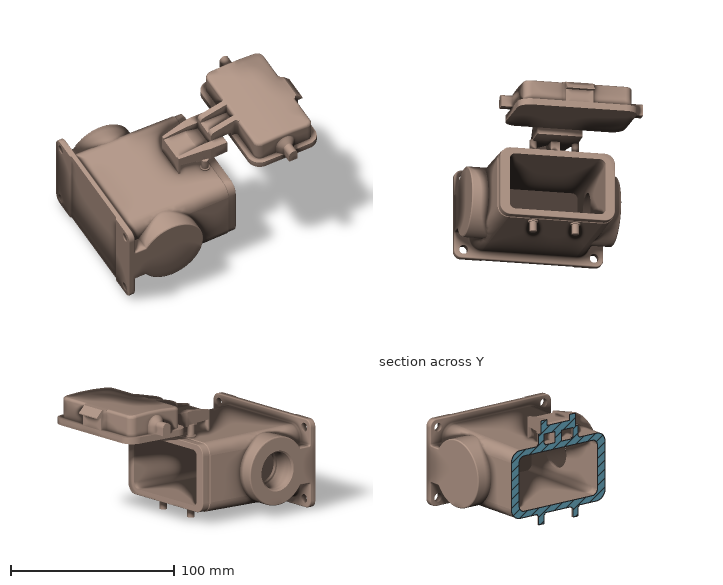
import cadquery as cq
import math

PLATE_WIDTH = 94.0
PLATE_HEIGHT = 55.9
PLATE_THICKNESS = 4.0
PLATE_CORNER_RADIUS = 4.7
SCREW_SPACING_X = 82.3
SCREW_SPACING_Z = 45.1
SCREW_HOLE_DIAMETER = 5.5
RELIEF_WIDTH = 56.7
RELIEF_DEPTH = 0.9
RELIEF_SLOPE_RUN = 1.1

SHELL_BASE_HALF_X = 37.6
SHELL_BASE_HALF_Z = 22.8
SHELL_CORNER_RADIUS = 8.0
SHELL_END_Y = 75.2
SHELL_DRAFT = 1.0
SHELL_DRAFT_ANGLE = math.degrees(math.atan2(SHELL_DRAFT, SHELL_END_Y - PLATE_THICKNESS))
SHELL_END_HALF_X = SHELL_BASE_HALF_X - SHELL_DRAFT
SHELL_END_HALF_Z = SHELL_BASE_HALF_Z - SHELL_DRAFT
RIM_END_Y = 80.3
RIM_STEP = 0.4
BASE_FILLET = 1.0
CAVITY_FLOOR_Y = 5.7
SIDE_WALL = 6.4
BROAD_WALL = 4.3
CAVITY_CORNER_RADIUS = 3.5

ENTRY_Y = 29.9
ENTRY_RADIUS = 21.7
ENTRY_NECK_HALF_Z = 11.8
ENTRY_EDGE_FILLET = 0.7
ENTRY_BORE_RADIUS = 11.8
ENTRY_BORE_CHAMFER = 1.0
ENTRY_BORE_DEPTH = 14.9
ENTRY_WINDOW_RADIUS = 10.5

PEG_X = 13.3
PEG_Y = 71.0
PEG_RADIUS = 2.3
PEG_COLLAR_RADIUS = 3.1
PEG_COLLAR_TOP_Z = 22.8
PEG_LOWER_END_Z = 28.8

LEVER_HALF_X = 14.3
LEVER_FRONT_HALF_X = 10.6
LEVER_FRONT_Y = 54.2
LEVER_TAPER_Y = 74.6
LEVER_REAR_Y = 86.2
LEVER_SLOPE_Y = 69.8
LEVER_TOP_Z = 37.9
LEVER_FRONT_TOP_Z = 35.7
LEVER_BOTTOM_Z = 29.6
LEVER_PAD_FRONT_Y = 65.5
LEVER_PAD_Z = 28.6
LEVER_REAR_BOTTOM_Z = 29.4
LEVER_REAR_FILLET = 0.7
LEVER_FLOOR_Z = 34.6
LEVER_FLOOR_BEND_Y = 68.9
LEVER_FLOOR_REAR_Z = 32.6
LEVER_FLOOR_REAR_Y = 76.6
LEVER_LIP_THICKNESS = 1.0
SUPPORT_HALF_X = 2.8
SUPPORT_FRONT_HALF_X = 8.5
SUPPORT_TAPER_Y = 61.3

COVER_Y = 115.7
COVER_BOTTOM_Z = 31.5
FLANGE_HALF_X = 37.6
FLANGE_HALF_Y = 23.4
FLANGE_TOP_Z = 35.5
FLANGE_CORNER_RADIUS = 8.0
DOME_HALF_X = 34.2
DOME_HALF_Y = 19.9
DOME_CORNER_RADIUS = 4.4
DOME_CROWN_Z = 49.4
DOME_SHOULDER_Z = 47.8
DOME_EDGE_FILLET = 1.8
STRAP_HALF_X = 8.7
STRAP_FILLET = 1.7

NOSE_TIP_Y = 141.8
NOSE_TIP_Z = 43.1
NOSE_TIP_HEIGHT = 0.5
NOSE_FACE_Y = 138.5
NOSE_TOP_Y = 137.5

ARM_END_Y = 77.9
ARM_BOTTOM_Z = 37.9
ARM_ROOT_Y = 94.3
ARM_NOSE_Y = 80.4
ARM_NOSE_Z = 44.7
ARM_NOSE_MID_Y = 78.5
ARM_NOSE_MID_Z = 43.5
ARM_NOSE_LOW_Z = 42.0
ARM_POCKET_HALF_X = 4.89
ARM_POCKET_FLOOR_Z = 41.1
ARM_POCKET_END_Y = 99.3

TRUNNION_END_X = 44.7
TRUNNION_HALF_Y = 3.0
TRUNNION_TOP_Z = 43.3
TRUNNION_ROOT_HALF_Y = 6.4
TRUNNION_ROOT_TOP_Z = 46.5

OVERLAP = 2.1
SELECTION_MARGIN = 0.1


def box_between(x0, x1, y0, y1, z0, z1):
    return cq.Workplane("XY").box(x1 - x0, y1 - y0, z1 - z0, centered=False).translate((x0, y0, z0))


def rounded_rect_y(half_x, half_z, radius, y_start, y_end):
    """Rounded rectangle in XZ, extruded along Y."""
    sketch = cq.Sketch().rect(2 * half_x, 2 * half_z).vertices().fillet(radius)
    return cq.Workplane("XZ", origin=(0, y_start, 0)).placeSketch(sketch).extrude(y_start - y_end)


def rounded_rect_z(half_x, half_y, radius, z_start, z_end):
    """Rounded rectangle around the cover centre, extruded along Z."""
    sketch = cq.Sketch().rect(2 * half_x, 2 * half_y).vertices().fillet(radius)
    return cq.Workplane("XY", origin=(0, COVER_Y, z_start)).placeSketch(sketch).extrude(z_end - z_start)


def extrude_yz(points, half_x):
    """Polygon of (Y, Z) points, extruded to both sides of X = 0."""
    return cq.Workplane("YZ").polyline(points).close().extrude(half_x, both=True)


def both_sides(solid):
    return solid.union(solid.mirror("YZ"))


def mounting_plate():
    plate = rounded_rect_y(PLATE_WIDTH / 2, PLATE_HEIGHT / 2, PLATE_CORNER_RADIUS, 0, PLATE_THICKNESS)
    holes = (
        cq.Workplane("XZ")
        .rect(SCREW_SPACING_X, SCREW_SPACING_Z, forConstruction=True)
        .vertices()
        .circle(SCREW_HOLE_DIAMETER / 2)
        .extrude(-PLATE_THICKNESS)
    )
    half = RELIEF_WIDTH / 2
    relief = (
        cq.Workplane("XY")
        .polyline([
            (-half - RELIEF_SLOPE_RUN, 0),
            (half + RELIEF_SLOPE_RUN, 0),
            (half, RELIEF_DEPTH),
            (-half, RELIEF_DEPTH),
        ])
        .close()
        .extrude(PLATE_HEIGHT, both=True)
    )
    return plate.cut(holes).cut(relief)


def shell_body():
    base = cq.Sketch().rect(2 * SHELL_BASE_HALF_X, 2 * SHELL_BASE_HALF_Z)
    base = base.vertices().fillet(SHELL_CORNER_RADIUS)
    body = (
        cq.Workplane("XZ", origin=(0, PLATE_THICKNESS, 0))
        .placeSketch(base)
        .extrude(PLATE_THICKNESS - SHELL_END_Y, taper=SHELL_DRAFT_ANGLE)
    )
    body = body.faces(">Y").chamfer(RIM_STEP)
    rim = rounded_rect_y(
        SHELL_END_HALF_X - RIM_STEP,
        SHELL_END_HALF_Z - RIM_STEP,
        SHELL_CORNER_RADIUS - SHELL_DRAFT - RIM_STEP,
        SHELL_END_Y - OVERLAP,
        RIM_END_Y,
    )
    rim = rim.faces(">Y").edges().fillet(RIM_STEP)
    return body.union(rim)


def fillet_foot(housing):
    """Round the foot of the shell and the entry necks where they meet the plate."""
    margin = SELECTION_MARGIN
    foot = cq.selectors.BoxSelector(
        (-PLATE_WIDTH, PLATE_THICKNESS - margin, -SHELL_BASE_HALF_Z - margin),
        (PLATE_WIDTH, PLATE_THICKNESS + margin, SHELL_BASE_HALF_Z + margin),
        boundingbox=True,
    )
    return housing.edges(foot).fillet(BASE_FILLET)


def fillet_entry_faces(housing):
    """Round the outline of both entry faces above the plate."""
    above_plate = cq.selectors.BoxSelector(
        (-PLATE_WIDTH, PLATE_THICKNESS + SELECTION_MARGIN, -PLATE_HEIGHT),
        (PLATE_WIDTH, RIM_END_Y, PLATE_HEIGHT),
    )
    return housing.faces("<X or >X").edges(above_plate).fillet(ENTRY_EDGE_FILLET)


def shell_cavity():
    return rounded_rect_y(
        SHELL_END_HALF_X - SIDE_WALL,
        SHELL_END_HALF_Z - BROAD_WALL,
        CAVITY_CORNER_RADIUS,
        CAVITY_FLOOR_Y,
        RIM_END_Y,
    )


def cable_entry():
    """Left-hand entry: a round boss joined to the plate by a neck."""
    face_x = -PLATE_WIDTH / 2
    length = PLATE_WIDTH / 2 - SHELL_END_HALF_X + SIDE_WALL
    boss = cq.Workplane("YZ", origin=(face_x, ENTRY_Y, 0)).circle(ENTRY_RADIUS).extrude(length)
    neck = box_between(
        face_x, face_x + length,
        PLATE_THICKNESS / 2, ENTRY_Y,
        -ENTRY_NECK_HALF_Z, ENTRY_NECK_HALF_Z,
    )
    return boss.union(neck)


def entry_bore():
    face_x = -PLATE_WIDTH / 2
    start = cq.Workplane("YZ", origin=(face_x, ENTRY_Y, 0))
    bore = start.circle(ENTRY_BORE_RADIUS).extrude(ENTRY_BORE_DEPTH)
    mouth = cq.Workplane(cq.Solid.makeCone(
        ENTRY_BORE_RADIUS + ENTRY_BORE_CHAMFER,
        ENTRY_BORE_RADIUS,
        ENTRY_BORE_CHAMFER,
        pnt=cq.Vector(face_x, ENTRY_Y, 0),
        dir=cq.Vector(1, 0, 0),
    ))
    window = start.circle(ENTRY_WINDOW_RADIUS).extrude(PLATE_WIDTH / 2)
    return bore.union(mouth).union(window)


def locking_pegs():
    """Two pegs on each broad face; the upper pair carries the lever."""
    def cylinders(radius, z_low, z_high):
        return (
            cq.Workplane("XY", origin=(0, PEG_Y, z_low))
            .pushPoints([(-PEG_X, 0), (PEG_X, 0)])
            .circle(radius)
            .extrude(z_high - z_low)
        )

    root_z = SHELL_END_HALF_Z - OVERLAP
    pegs = cylinders(PEG_RADIUS, root_z, LEVER_BOTTOM_Z)
    pegs = pegs.union(cylinders(PEG_RADIUS, -PEG_LOWER_END_Z, -root_z))
    pegs = pegs.union(cylinders(PEG_COLLAR_RADIUS, root_z, PEG_COLLAR_TOP_Z))
    return pegs.union(cylinders(PEG_COLLAR_RADIUS, -PEG_COLLAR_TOP_Z, -root_z))


def lever():
    profile = extrude_yz(
        [
            (LEVER_FRONT_Y, LEVER_BOTTOM_Z),
            (LEVER_FRONT_Y, LEVER_FRONT_TOP_Z),
            (LEVER_SLOPE_Y, LEVER_TOP_Z),
            (LEVER_REAR_Y, LEVER_TOP_Z),
            (LEVER_REAR_Y, LEVER_REAR_BOTTOM_Z),
            (LEVER_TAPER_Y, LEVER_PAD_Z),
            (LEVER_PAD_FRONT_Y, LEVER_PAD_Z),
            (LEVER_PAD_FRONT_Y, LEVER_BOTTOM_Z),
        ],
        LEVER_HALF_X,
    )
    profile = profile.faces(">Y").edges(">Z").fillet(LEVER_REAR_FILLET)
    lip = box_between(
        -LEVER_HALF_X, LEVER_HALF_X,
        LEVER_FRONT_Y, LEVER_FRONT_Y + LEVER_LIP_THICKNESS,
        SHELL_END_HALF_Z - OVERLAP, LEVER_BOTTOM_Z,
    )
    plan = (
        cq.Workplane("XY")
        .polyline([
            (-LEVER_FRONT_HALF_X, LEVER_FRONT_Y),
            (LEVER_FRONT_HALF_X, LEVER_FRONT_Y),
            (LEVER_HALF_X, LEVER_TAPER_Y),
            (LEVER_HALF_X, LEVER_REAR_Y),
            (-LEVER_HALF_X, LEVER_REAR_Y),
            (-LEVER_HALF_X, LEVER_TAPER_Y),
        ])
        .close()
        .extrude(LEVER_TOP_Z)
    )
    slot = extrude_yz(
        [
            (LEVER_FRONT_Y, LEVER_FLOOR_Z),
            (LEVER_FLOOR_BEND_Y, LEVER_FLOOR_Z),
            (LEVER_FLOOR_REAR_Y, LEVER_FLOOR_REAR_Z),
            (LEVER_REAR_Y, LEVER_FLOOR_REAR_Z),
            (LEVER_REAR_Y, LEVER_TOP_Z),
            (LEVER_FRONT_Y, LEVER_TOP_Z),
        ],
        STRAP_HALF_X,
    )
    return profile.union(lip).intersect(plan).cut(slot)


def lever_support():
    """Block that carries the lever on the shell, flaring out toward the lip."""
    return (
        cq.Workplane("XY", origin=(0, 0, SHELL_END_HALF_Z - OVERLAP))
        .polyline([
            (-SUPPORT_FRONT_HALF_X, LEVER_FRONT_Y),
            (SUPPORT_FRONT_HALF_X, LEVER_FRONT_Y),
            (SUPPORT_HALF_X, SUPPORT_TAPER_Y),
            (SUPPORT_HALF_X, LEVER_TAPER_Y),
            (-SUPPORT_HALF_X, LEVER_TAPER_Y),
            (-SUPPORT_HALF_X, SUPPORT_TAPER_Y),
        ])
        .close()
        .extrude(LEVER_BOTTOM_Z - SHELL_END_HALF_Z + OVERLAP)
    )


def arch_height(y):
    """Height of the circular arch over the cover."""
    rise = DOME_CROWN_Z - DOME_SHOULDER_Z
    radius = (FLANGE_HALF_Y**2 + rise**2) / (2 * rise)
    return DOME_CROWN_Z - radius + math.sqrt(radius**2 - (y - COVER_Y) ** 2)


def below_arch():
    """All space between the flange and the arch."""
    return (
        cq.Workplane("YZ")
        .moveTo(COVER_Y - FLANGE_HALF_Y, FLANGE_TOP_Z)
        .lineTo(COVER_Y - FLANGE_HALF_Y, DOME_SHOULDER_Z)
        .threePointArc((COVER_Y, DOME_CROWN_Z), (COVER_Y + FLANGE_HALF_Y, DOME_SHOULDER_Z))
        .lineTo(COVER_Y + FLANGE_HALF_Y, FLANGE_TOP_Z)
        .close()
        .extrude(DOME_HALF_X, both=True)
    )


def cover_dome():
    """Flanged cover whose top is arched along Y."""
    dome = rounded_rect_z(DOME_HALF_X, DOME_HALF_Y, DOME_CORNER_RADIUS, FLANGE_TOP_Z, DOME_CROWN_Z)
    dome = dome.intersect(below_arch()).faces(">Z").edges().fillet(DOME_EDGE_FILLET)
    flange = rounded_rect_z(
        FLANGE_HALF_X, FLANGE_HALF_Y, FLANGE_CORNER_RADIUS, COVER_BOTTOM_Z, FLANGE_TOP_Z
    )
    return dome.union(flange)


def latch_nose():
    """Strap with a pointed latch, flush with the arch of the cover."""
    mid_y = (COVER_Y + NOSE_TOP_Y) / 2
    return (
        cq.Workplane("YZ")
        .moveTo(COVER_Y, FLANGE_TOP_Z)
        .lineTo(NOSE_FACE_Y, FLANGE_TOP_Z)
        .lineTo(NOSE_FACE_Y, NOSE_TIP_Z)
        .lineTo(NOSE_TIP_Y, NOSE_TIP_Z)
        .lineTo(NOSE_TIP_Y, NOSE_TIP_Z + NOSE_TIP_HEIGHT)
        .lineTo(NOSE_TOP_Y, arch_height(NOSE_TOP_Y))
        .threePointArc((mid_y, arch_height(mid_y)), (COVER_Y, DOME_CROWN_Z))
        .close()
        .extrude(STRAP_HALF_X, both=True)
    )


def strap_fillets():
    """Concave fillets in the four corners between straps and dome."""
    fillets = cq.Workplane("XY")
    for side_x in (-1, 1):
        for side_y in (-1, 1):
            center_x = side_x * (STRAP_HALF_X + STRAP_FILLET)
            center_y = COVER_Y + side_y * (DOME_HALF_Y + STRAP_FILLET)
            corner_x = side_x * STRAP_HALF_X
            root_y = COVER_Y + side_y * (DOME_HALF_Y - STRAP_FILLET)
            block = box_between(
                min(center_x, corner_x), max(center_x, corner_x),
                min(center_y, root_y), max(center_y, root_y),
                FLANGE_TOP_Z, DOME_CROWN_Z,
            )
            round_cut = cq.Workplane("XY").center(center_x, center_y).circle(STRAP_FILLET)
            fillets = fillets.add(block.cut(round_cut.extrude(DOME_CROWN_Z)))
    return fillets.combine().intersect(below_arch())


def hinge_arm():
    """Strap that slopes down to a rounded nose held between the lever cheeks."""
    mid_y = (COVER_Y + ARM_ROOT_Y) / 2
    return (
        cq.Workplane("YZ")
        .moveTo(COVER_Y, DOME_CROWN_Z)
        .threePointArc((mid_y, arch_height(mid_y)), (ARM_ROOT_Y, arch_height(ARM_ROOT_Y)))
        .lineTo(ARM_NOSE_Y, ARM_NOSE_Z)
        .threePointArc(
            (ARM_NOSE_MID_Y, ARM_NOSE_MID_Z),
            (ARM_END_Y, ARM_NOSE_LOW_Z),
        )
        .lineTo(ARM_END_Y, LEVER_FLOOR_REAR_Z)
        .lineTo(LEVER_REAR_Y, LEVER_FLOOR_REAR_Z)
        .lineTo(LEVER_REAR_Y, ARM_BOTTOM_Z)
        .lineTo(COVER_Y - FLANGE_HALF_Y, ARM_BOTTOM_Z)
        .lineTo(COVER_Y - FLANGE_HALF_Y, FLANGE_TOP_Z)
        .lineTo(COVER_Y, FLANGE_TOP_Z)
        .close()
        .extrude(STRAP_HALF_X, both=True)
    )


def arm_pocket():
    return box_between(
        -ARM_POCKET_HALF_X, ARM_POCKET_HALF_X,
        ARM_END_Y, ARM_POCKET_END_Y,
        ARM_POCKET_FLOOR_Z, DOME_CROWN_Z,
    )


def trunnion_section(x, half_y, top_z):
    """Upright outline with a round top, standing on the flange level."""
    return (
        cq.Workplane("YZ", origin=(x, COVER_Y, 0))
        .moveTo(-half_y, FLANGE_TOP_Z)
        .lineTo(-half_y, top_z - half_y)
        .threePointArc((0, top_z), (half_y, top_z - half_y))
        .lineTo(half_y, FLANGE_TOP_Z)
        .close()
    )


def trunnion():
    """Right-hand trunnion with its flared root."""
    pin = trunnion_section(DOME_HALF_X, TRUNNION_HALF_Y, TRUNNION_TOP_Z).extrude(
        TRUNNION_END_X - DOME_HALF_X
    )
    root_wire = trunnion_section(DOME_HALF_X, TRUNNION_ROOT_HALF_Y, TRUNNION_ROOT_TOP_Z).wire().val()
    pin_wire = trunnion_section(FLANGE_HALF_X, TRUNNION_HALF_Y, TRUNNION_TOP_Z).wire().val()
    return pin.union(cq.Workplane(cq.Solid.makeLoft([root_wire, pin_wire], True)))


housing = mounting_plate().union(shell_body()).union(both_sides(cable_entry()))
housing = fillet_entry_faces(fillet_foot(housing))
housing = housing.cut(shell_cavity()).cut(entry_bore())
housing = housing.union(locking_pegs()).union(lever_support()).union(lever())

cover = cover_dome().union(latch_nose()).union(hinge_arm().cut(arm_pocket()))
cover = cover.union(strap_fillets()).union(both_sides(trunnion()))

result = housing.union(cover)